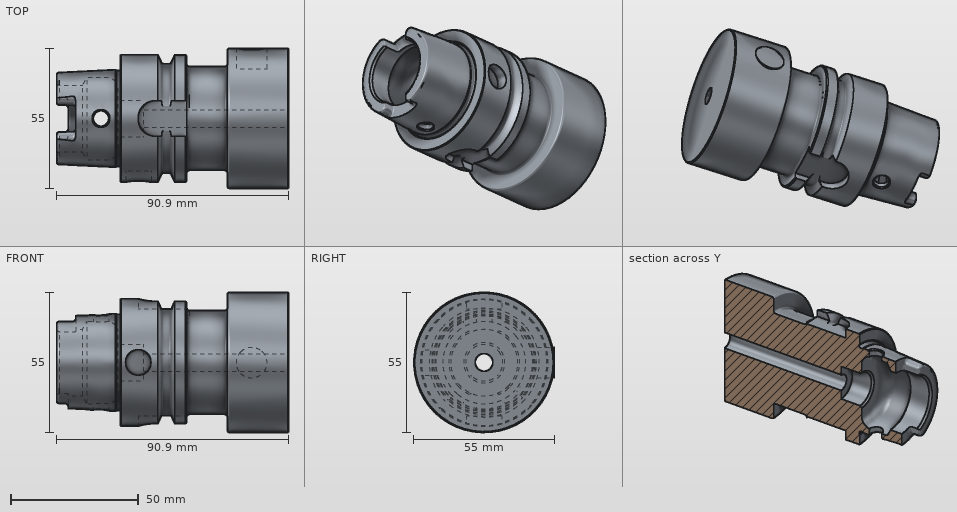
import cadquery as cq
import math


taper_length = 25.0
taper_gauge_radius = 19.0
taper_gauge_x = -5.0
taper_slope = 0.05
taper_large_end_x = -2.1
neck_start_x = -1.4
neck_radius = 18.9
end_fillet = 1.0

undercut_depth = 0.3
undercut_outer_radius = 20.3
undercut_floor_radius = 19.8
undercut_fillet = 0.8

flange_radius = 25.0
flange_width = 26.0
flange_face_chamfer = 0.3
flange_back_chamfer = 0.5
groove_center_x = 18.0
groove_mouth_width = 6.6
groove_floor_radius = 21.5
groove_wall_angle = 25.0
groove_fillet = 0.67

waist_radius = 20.4
waist_fillet = 1.0
head_radius = 27.5
head_length = 24.0
overall_length = 90.9
head_fillet = 1.0
head_end_chamfer = 0.4

slot_half_width = 5.27
slot_shelf_z = 16.1
slot_corner_radius = 2.4
slot_floor_fillet = 1.2
slot_rim_fillet = 1.1
slot_inner_z = 11.0
upper_slot_depth = 7.5
lower_slot_depth = 4.5
slot_outer_reach = 1.2 * taper_gauge_radius

bore_radius = 13.1
bore_mouth_radius = 13.8
bore_mouth_length = 1.0
bore_length = 10.0
recess_radius = 16.2
recess_front_angle = 60.0
recess_end_depth = 19.5
cavity_floor_radius = 11.7
thread_mouth_radius = 8.0
thread_radius = 7.2
thread_depth = 10.0
coolant_radius = 3.4

cross_hole_x = -7.6
cross_hole_radius = 3.0
cross_hole_chamfer = 0.5

notch_half_width = 7.0
notch_start_x = 6.9
notch_floor_z = 20.95

chip_hole_x = 7.0
chip_hole_radius = 5.0
chip_hole_depth = 4.6

plug_x = 51.3
plug_radius = 6.0
plug_length = 8.0

pick_margin = 0.01

small_end_x = -taper_length
head_end_x = overall_length - taper_length
head_start_x = head_end_x - head_length


def taper_radius(x):
    return taper_gauge_radius + taper_slope * (x - taper_gauge_x)


def revolved(points):
    """Solid of revolution about X from (x, radius) points; the axis closes the outline."""
    outline = cq.Workplane("XY").moveTo(points[0][0], 0).lineTo(*points[0])
    for point in points[1:]:
        outline = outline.lineTo(*point)
    return outline.lineTo(points[-1][0], 0).close().revolve(360, (0, 0, 0), (1, 0, 0))


def disc_box(x, half_size):
    """Selector for edges that lie wholly in a thin square plate across the axis at x."""
    return cq.selectors.BoxSelector(
        (x - pick_margin, -half_size, -half_size),
        (x + pick_margin, half_size, half_size),
        boundingbox=True,
    )


def fillet_ring(body, x, radius, fillet_radius):
    """Rounds the circular edge of the given radius at the given x."""
    ring = disc_box(x, radius + pick_margin) - disc_box(x, radius - pick_margin)
    return body.edges(ring).fillet(fillet_radius)


def shank_and_flange():
    wall_run = (flange_radius - groove_floor_radius) * math.tan(math.radians(groove_wall_angle))
    mouth_left = groove_center_x - groove_mouth_width / 2
    mouth_right = groove_center_x + groove_mouth_width / 2
    floor_left = mouth_left + wall_run
    floor_right = mouth_right - wall_run
    body = revolved([
        (small_end_x, taper_radius(small_end_x)),
        (taper_large_end_x, taper_radius(taper_large_end_x)),
        (neck_start_x, neck_radius),
        (undercut_depth, neck_radius),
        (undercut_depth, undercut_floor_radius),
        (0, undercut_outer_radius),
        (0, flange_radius - flange_face_chamfer),
        (flange_face_chamfer, flange_radius),
        (mouth_left, flange_radius),
        (floor_left, groove_floor_radius),
        (floor_right, groove_floor_radius),
        (mouth_right, flange_radius),
        (flange_width - flange_back_chamfer, flange_radius),
        (flange_width, flange_radius - flange_back_chamfer),
        (flange_width, waist_radius),
        (head_start_x, waist_radius),
        (head_start_x, head_radius),
        (head_end_x - head_end_chamfer, head_radius),
        (head_end_x, head_radius - head_end_chamfer),
    ])
    body = fillet_ring(body, small_end_x, taper_radius(small_end_x), end_fillet)
    body = fillet_ring(body, undercut_depth, neck_radius, undercut_fillet)
    body = fillet_ring(body, floor_left, groove_floor_radius, groove_fillet)
    body = fillet_ring(body, floor_right, groove_floor_radius, groove_fillet)
    body = fillet_ring(body, flange_width, waist_radius, waist_fillet)
    body = fillet_ring(body, head_start_x, waist_radius, waist_fillet)
    return fillet_ring(body, head_start_x, head_radius, head_fillet)


def drive_slot(depth):
    """Slot cutter on the +Z side: straight walls that round outward onto flat shelves."""
    shelf_start_y = slot_half_width + slot_corner_radius
    arc_start_z = slot_shelf_z - slot_corner_radius
    arc_middle = slot_corner_radius * (1 - math.sqrt(0.5))
    outer = slot_outer_reach
    cutter = (
        cq.Workplane("YZ", origin=(small_end_x, 0, 0))
        .moveTo(-slot_half_width, slot_inner_z)
        .lineTo(slot_half_width, slot_inner_z)
        .lineTo(slot_half_width, arc_start_z)
        .threePointArc(
            (slot_half_width + arc_middle, slot_shelf_z - arc_middle), (shelf_start_y, slot_shelf_z)
        )
        .lineTo(outer, slot_shelf_z)
        .lineTo(outer, outer)
        .lineTo(-outer, outer)
        .lineTo(-outer, slot_shelf_z)
        .lineTo(-shelf_start_y, slot_shelf_z)
        .threePointArc(
            (-slot_half_width - arc_middle, slot_shelf_z - arc_middle), (-slot_half_width, arc_start_z)
        )
        .close()
        .extrude(depth)
    )
    floor_x = small_end_x + depth
    wall_edges = cq.selectors.BoxSelector(
        (floor_x - pick_margin, -outer, slot_inner_z + pick_margin),
        (floor_x + pick_margin, outer, slot_shelf_z + pick_margin),
    )
    cutter = cutter.edges(wall_edges).fillet(slot_floor_fillet)

    block = cq.Workplane("XY", origin=(small_end_x, 0, 0)).box(
        depth, 2 * outer, outer, centered=(False, True, False)
    )
    mouth_edges = cq.selectors.BoxSelector(
        (small_end_x - pick_margin, pick_margin - outer, slot_inner_z - pick_margin),
        (small_end_x + pick_margin, outer - pick_margin, slot_shelf_z + pick_margin),
    )
    teeth = block.cut(cutter).edges(mouth_edges).fillet(slot_rim_fillet)
    return block.cut(teeth)


def cut_drive_slots(body):
    upper_slot = drive_slot(upper_slot_depth)
    lower_slot = drive_slot(lower_slot_depth).rotate((0, 0, 0), (1, 0, 0), 180)
    return body.cut(upper_slot).cut(lower_slot)


def cut_cavity(body):
    """Bore, wider recess with a rounded floor corner, threaded hole and coolant passage."""
    recess_run = (recess_radius - bore_radius) / math.tan(math.radians(recess_front_angle))
    floor_x = small_end_x + recess_end_depth + recess_radius - cavity_floor_radius
    floor_fillet = recess_radius - cavity_floor_radius - pick_margin
    thread_chamfer = thread_mouth_radius - thread_radius
    cavity = revolved([
        (small_end_x, bore_mouth_radius),
        (small_end_x + bore_mouth_length, bore_radius),
        (small_end_x + bore_length, bore_radius),
        (small_end_x + bore_length + recess_run, recess_radius),
        (floor_x, recess_radius),
        (floor_x, thread_mouth_radius),
        (floor_x + thread_chamfer, thread_radius),
        (floor_x + thread_depth, thread_radius),
        (floor_x + thread_depth, coolant_radius),
        (head_end_x, coolant_radius),
    ])
    cavity = fillet_ring(cavity, floor_x, recess_radius, floor_fillet)
    return body.cut(cavity)


def cut_cross_hole(body):
    """Hole along Z through both walls of the taper, chamfered at its outer rims."""
    hole = (
        cq.Workplane("XY", origin=(cross_hole_x, 0, 0))
        .circle(cross_hole_radius)
        .extrude(flange_radius, both=True)
    )
    body = body.cut(hole)
    reach = cross_hole_radius + pick_margin
    inner_z = recess_radius + 1
    outer_z = neck_radius + 1
    upper_rim = cq.selectors.BoxSelector(
        (cross_hole_x - reach, -reach, inner_z), (cross_hole_x + reach, reach, outer_z), boundingbox=True
    )
    lower_rim = cq.selectors.BoxSelector(
        (cross_hole_x - reach, -reach, -inner_z), (cross_hole_x + reach, reach, -outer_z), boundingbox=True
    )
    return body.edges(upper_rim + lower_rim).chamfer(cross_hole_chamfer)


def cut_notches(body):
    """Round-ended notch on top and bottom of the flange, open toward the waist."""
    end_center_x = notch_start_x + notch_half_width
    notch = (
        cq.Workplane("XY", origin=(0, 0, notch_floor_z))
        .moveTo(flange_width, notch_half_width)
        .lineTo(end_center_x, notch_half_width)
        .threePointArc((notch_start_x, 0), (end_center_x, -notch_half_width))
        .lineTo(flange_width, -notch_half_width)
        .close()
        .extrude(flange_radius - notch_floor_z)
    )
    return body.cut(notch).cut(notch.mirror("XY"))


def cut_chip_hole(body):
    hole = (
        cq.Workplane("XZ", origin=(chip_hole_x, -flange_radius, 0))
        .circle(chip_hole_radius)
        .extrude(-chip_hole_depth)
    )
    return body.cut(hole)


def screw_plug():
    """Plug whose flat top lies in the plane tangent to the head at its +Y side."""
    return (
        cq.Workplane("XZ", origin=(plug_x, head_radius, 0))
        .circle(plug_radius)
        .extrude(plug_length)
    )


plug = screw_plug()

holder = shank_and_flange()
holder = cut_drive_slots(holder)
holder = cut_cavity(holder)
holder = cut_cross_hole(holder)
holder = cut_notches(holder)
holder = cut_chip_hole(holder)
holder = holder.cut(plug)

result = cq.Compound.makeCompound([holder.val(), plug.val()])